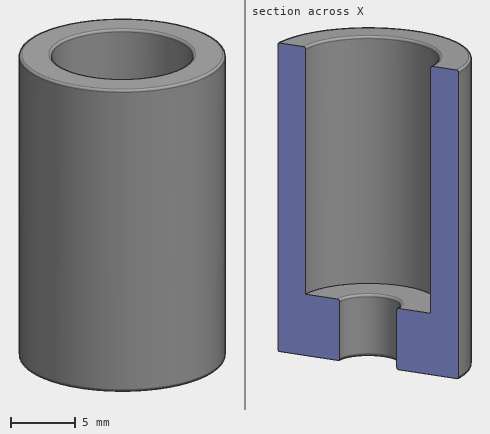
import cadquery as cq

length = 25.0
outer_radius = 16.0 / 2

bore_radius = 11.0 / 2
hole_radius = 5.0 / 2
floor_thickness = 5.0

rim_radius = 0.2

half_section = [
    (hole_radius, 0),
    (outer_radius, 0),
    (outer_radius, length),
    (bore_radius, length),
    (bore_radius, floor_thickness),
    (hole_radius, floor_thickness),
]

sleeve = (
    cq.Workplane("XZ")
    .polyline(half_section)
    .close()
    .revolve(360, (0, 0), (0, 1))
)

ends_rounded = sleeve.faces("<Z or >Z").edges().fillet(rim_radius)
floor_rim = cq.selectors.BoxSelector(
    (-bore_radius, -bore_radius, floor_thickness - rim_radius),
    (bore_radius, bore_radius, floor_thickness + rim_radius),
)
result = ends_rounded.edges(floor_rim).edges(cq.selectors.RadiusNthSelector(0)).fillet(rim_radius)